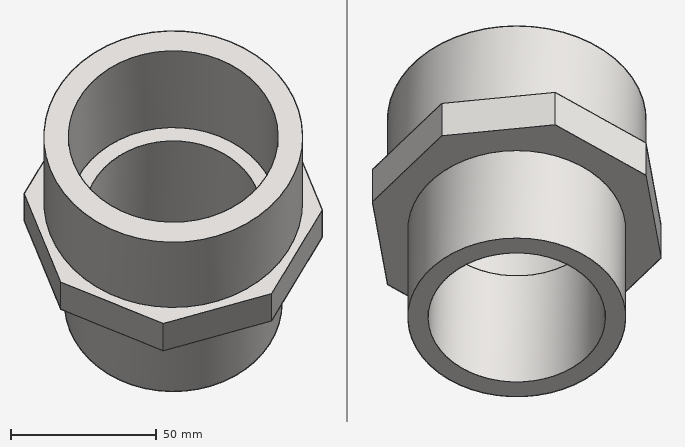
import cadquery as cq

total_height = 99.0
collar_across_corners = 102.8
collar_sides = 8

spigot_diameter = 75.0
spigot_height = 43.9
collar_height = 16.2
socket_outer_diameter = 89.0
socket_height = total_height - spigot_height - collar_height

socket_bore_diameter = 72.2
socket_depth = 45.8
through_bore_diameter = 61.0

spigot = cq.Workplane("XY").circle(spigot_diameter / 2).extrude(spigot_height)
collar = (
    cq.Workplane("XY", origin=(0, 0, spigot_height))
    .polygon(collar_sides, collar_across_corners)
    .extrude(collar_height)
)
socket = (
    cq.Workplane("XY", origin=(0, 0, spigot_height + collar_height))
    .circle(socket_outer_diameter / 2)
    .extrude(socket_height)
)
body = spigot.union(collar).union(socket)

through_bore = cq.Workplane("XY").circle(through_bore_diameter / 2).extrude(total_height)
socket_bore = (
    cq.Workplane("XY", origin=(0, 0, total_height - socket_depth))
    .circle(socket_bore_diameter / 2)
    .extrude(socket_depth)
)
result = body.cut(through_bore).cut(socket_bore)